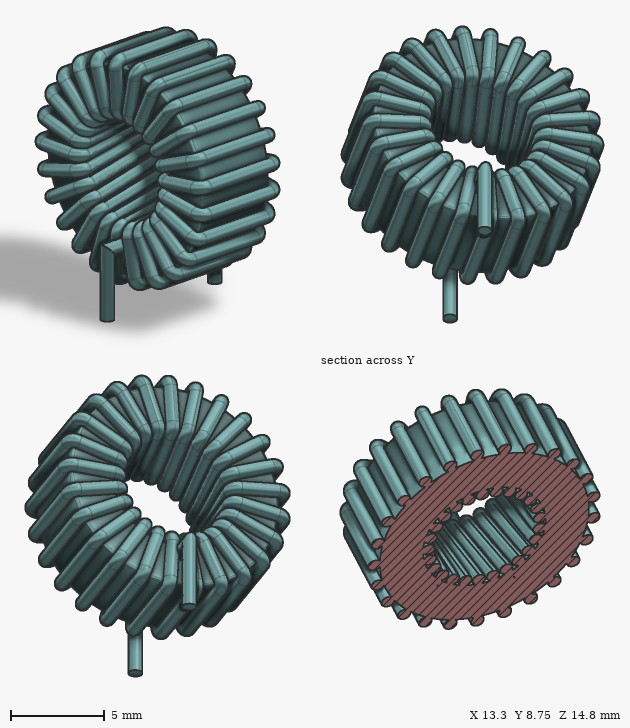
import cadquery as cq
import math


core_outer_radius = 6.0
core_bore_diameter = 7.0
core_bore_radius = core_bore_diameter / 2
core_length = 5.0
core_rim_fillet = 0.15

turn_count = 25
turn_pitch = 360 / turn_count
wire_diameter = 0.75
wire_radius = wire_diameter / 2
wire_offset = 0.3
bend_radius = wire_offset + core_rim_fillet
first_turn_angle = 180.0

outer_run_radius = core_outer_radius + wire_offset
inner_run_radius = core_bore_radius - wire_offset
face_run_y = core_length / 2 + wire_offset
straight_half_length = face_run_y - bend_radius
outer_bend_center = outer_run_radius - bend_radius
inner_bend_center = inner_run_radius + bend_radius

lead_span = 8.75
lead_radial_distance = 4.1
lead_embedding = 0.15
lead_angle = math.radians(-90 + turn_pitch / 4)
overall_height = 14.75
lead_x = lead_radial_distance * math.cos(lead_angle)
lead_z = lead_radial_distance * math.sin(lead_angle)
leg_y = (lead_span - wire_diameter) / 2
highest_turn_angle = math.radians(90 + turn_pitch / 4)
winding_top = outer_run_radius * math.sin(highest_turn_angle) + wire_radius
leg_bottom = winding_top - overall_height


def polar(radius, y, degrees):
    """Point at a radius and angle around the Y axis, the angle running from +X towards +Z."""
    angle = math.radians(degrees)
    return cq.Vector(radius * math.cos(angle), y, radius * math.sin(angle))


def make_core():
    front_end = cq.Workplane("XZ", origin=(0, -core_length / 2, 0))
    ring = front_end.circle(core_outer_radius).circle(core_bore_radius).extrude(-core_length)
    return ring.faces("|Y").edges().fillet(core_rim_fillet).solids().val()


def rounded_corner(radius_center, run_radius, end, degrees):
    """Quarter arc from a run along Y to the radial run over the core end (end is -1 or +1)."""
    outward = math.copysign(1, run_radius - radius_center)
    diagonal = bend_radius * math.sqrt(0.5)
    start = polar(run_radius, end * straight_half_length, degrees)
    middle = polar(radius_center + outward * diagonal, end * (straight_half_length + diagonal), degrees)
    finish = polar(radius_center, end * face_run_y, degrees)
    return start, middle, finish


def make_turn(degrees):
    """Wire around the core at one angle: front end, outer side and back end, with four bends."""
    front_inner = rounded_corner(inner_bend_center, inner_run_radius, -1, degrees)
    front_outer = rounded_corner(outer_bend_center, outer_run_radius, -1, degrees)
    back_outer = rounded_corner(outer_bend_center, outer_run_radius, 1, degrees)
    back_inner = rounded_corner(inner_bend_center, inner_run_radius, 1, degrees)
    path = cq.Wire.assembleEdges([
        cq.Edge.makeThreePointArc(*front_inner),
        cq.Edge.makeLine(front_inner[2], front_outer[2]),
        cq.Edge.makeThreePointArc(*reversed(front_outer)),
        cq.Edge.makeLine(front_outer[0], back_outer[0]),
        cq.Edge.makeThreePointArc(*back_outer),
        cq.Edge.makeLine(back_outer[2], back_inner[2]),
        cq.Edge.makeThreePointArc(*reversed(back_inner)),
    ])
    section = cq.Workplane(cq.Plane(front_inner[0], normal=(0, -1, 0))).circle(wire_radius)
    return section.sweep(cq.Workplane(path)).val()


def make_bore_run(degrees):
    """Slanted straight run through the bore, from the back of one turn to the front of the next."""
    along_y = cq.Vector(0, 1, 0)
    front_center = polar(inner_run_radius, -straight_half_length, degrees + turn_pitch)
    back_center = polar(inner_run_radius, straight_half_length, degrees)
    front_circle = cq.Wire.makeCircle(wire_radius, front_center, along_y)
    back_circle = cq.Wire.makeCircle(wire_radius, back_center, along_y)
    return cq.Solid.makeLoft([front_circle, back_circle], True)


def make_lead(side):
    """L-shaped lead, mitred at its corner and joined to one core end (side is -1 or +1)."""
    y = side * leg_y
    path = (
        cq.Workplane("YZ", origin=(lead_x, 0, 0))
        .moveTo(y, leg_bottom)
        .lineTo(y, lead_z)
        .lineTo(side * (core_length / 2 - lead_embedding), lead_z)
    )
    section = cq.Workplane("XY", origin=(lead_x, y, leg_bottom)).circle(wire_radius)
    return section.sweep(path, transition="right").val()


def make_winding():
    """All turns and bore runs, which meet only at matching circular end faces."""
    pieces = []
    for turn in range(turn_count):
        turn_angle = first_turn_angle + turn * turn_pitch
        pieces.append(make_turn(turn_angle))
        pieces.append(make_bore_run(turn_angle))
    return pieces[0].fuse(*pieces[1:], glue=True)


part = make_core().fuse(make_winding(), make_lead(-1), make_lead(1))
result = cq.Workplane(part.Solids()[0])